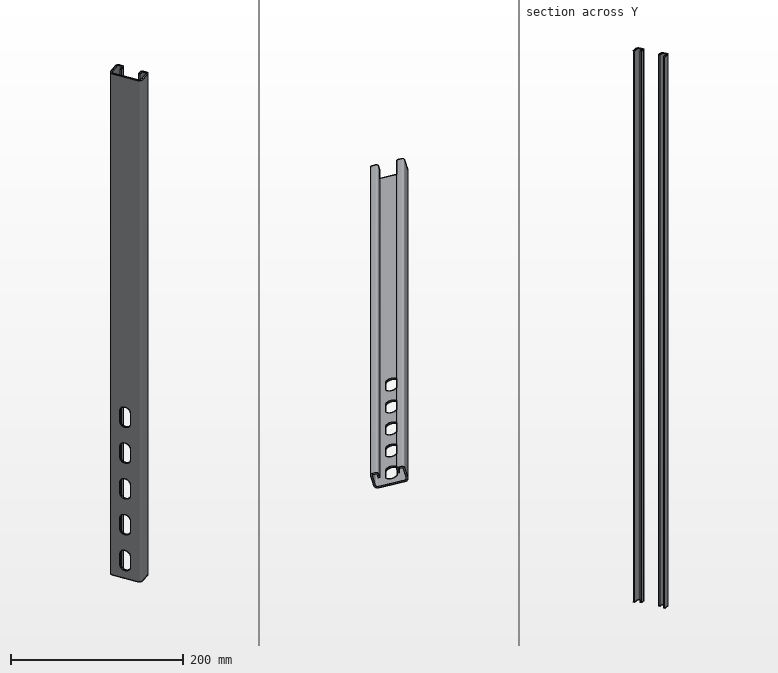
import cadquery as cq

length = 700.0
width = 41.0
depth = 21.0
thickness = 2.0

web_bend_radius = 4.75
lip_bend_radius = 3.0

opening = 22.0
lip_depth = 8.0

slot_count = 5
slot_length = 28.0
slot_width = 14.0
pitches_per_length = 14
slot_pitch = length / pitches_per_length
first_slot_height = slot_pitch / 2

outer_x = width / 2
inner_x = outer_x - thickness
lip_edge_x = opening / 2
lip_back_x = lip_edge_x + thickness
web_y = -depth / 2
web_inner_y = web_y + thickness
top_y = depth / 2
top_inner_y = top_y - thickness
lip_end_y = top_y - lip_depth


def sharp_channel():
    """Channel with all bends still square."""
    right_half = [
        (outer_x, web_y),
        (outer_x, top_y),
        (lip_edge_x, top_y),
        (lip_edge_x, lip_end_y),
        (lip_back_x, lip_end_y),
        (lip_back_x, top_inner_y),
        (inner_x, top_inner_y),
        (inner_x, web_inner_y),
    ]
    left_half = [(-x, y) for x, y in reversed(right_half)]
    return cq.Workplane("XY").polyline(right_half + left_half).close().extrude(length)


def round_edges(body, x, y, radius):
    """Round the two mirrored lengthwise edges at (x, y) and (-x, y)."""
    for edge_x in (x, -x):
        edge = cq.selectors.NearestToPointSelector((edge_x, y, length / 2))
        body = body.edges("|Z").edges(edge).fillet(radius)
    return body


def bend_corners(body):
    """Round the outside and inside of every bend about a common centre."""
    body = round_edges(body, outer_x, web_y, web_bend_radius)
    body = round_edges(body, inner_x, web_inner_y, web_bend_radius - thickness)
    for outside_x, inside_x in ((outer_x, inner_x), (lip_edge_x, lip_back_x)):
        body = round_edges(body, outside_x, top_y, lip_bend_radius)
        body = round_edges(body, inside_x, top_inner_y, lip_bend_radius - thickness)
    return body


def slot_cutters():
    """Slots through the web, long axis along Z."""
    centres = [(0, first_slot_height + i * slot_pitch) for i in range(slot_count)]
    return (
        cq.Workplane("XZ", origin=(0, web_inner_y, 0))
        .pushPoints(centres)
        .slot2D(slot_length, slot_width, 90)
        .extrude(thickness)
    )


result = bend_corners(sharp_channel()).cut(slot_cutters())